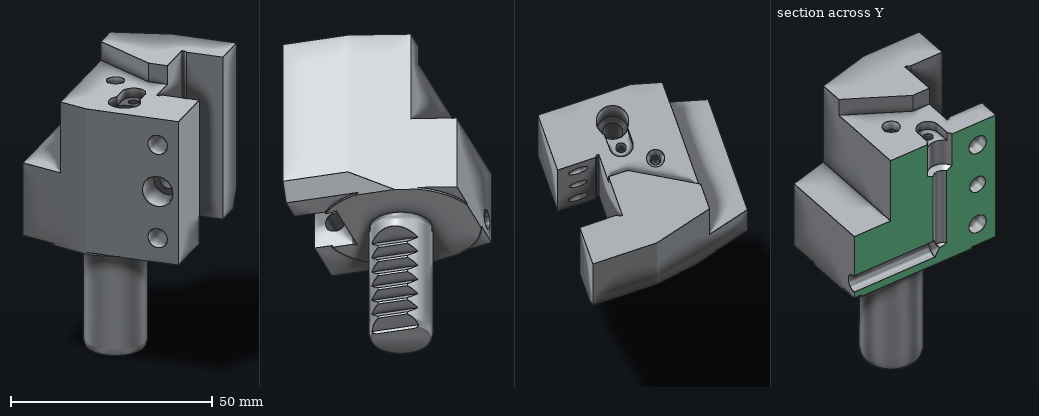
import cadquery as cq
import math


HEAD_LEFT = -19.0
HEAD_RIGHT = 24.0
HEAD_FRONT = -20.0
HEAD_BACK = 22.0
HEAD_TOP = 44.0
LEFT_HALF_WIDTH = 15.0
SIDE_BEVEL_ANGLE = 15.0
SHOULDER_X = -8.0
SHOULDER_Z = 20.0

DECK_Z = 39.0
DECK_EDGE_Y = 2.0
DECK_CORNER_X = 8.0
DECK_EDGE_ANGLE = 30.0

BACK_CHAMFER_Y = 3.0
BACK_CHAMFER_ANGLE = 30.0

PAD_RADIUS = 20.0
PAD_HEIGHT = 0.5

SLOT_X = 13.0
SLOT_FRONT = -5.0
SLOT_BACK = 12.0
RELIEF_DEPTH = 0.5
RELIEF_FLOOR = 0.6
RELIEF_LENGTH_FRONT = 1.0
RELIEF_LENGTH_BACK = 1.4

SHANK_RADIUS = 8.0
SHANK_LENGTH = 32.0
NECK_RADIUS = 7.7
NECK_LENGTH = 1.0
NECK_TAPER_END = 2.0
LEAD_START = 30.0
LEAD_ANGLE = 15.0
TIP_ROUND = 1.0

TOOTH_TIP_Y = 7.05
TOOTH_ROOT_Y = 5.35
TOOTH_PITCH = 4.0
FIRST_ROOT_Z = -6.6
GROOVE_COUNT = 6
TIP_FLAT_Y = 4.8

DRILL_TIP_ANGLE = 118.0
CLAMP_X = 18.5
CLAMP_CENTER_Z = 19.5
CLAMP_SPACING = 12.5
CLAMP_DIAMETER = 5.1
CENTER_BORE_DIAMETER = 4.6
CENTER_COUNTERBORE_DIAMETER = 8.0
CENTER_COUNTERBORE_DEPTH = 8.0

VALVE_X = 7.0
VALVE_Y = -12.5
VALVE_DIAMETER = 8.0
VALVE_DEPTH = 10.0
VALVE_BORE_DIAMETER = 5.0
VALVE_BORE_BOTTOM = 5.4
KEY_SCREW_Y = -6.0
KEY_WIDTH = 6.0
KEY_DEPTH = 2.5
KEY_SCREW_DIAMETER = 2.5
KEY_SCREW_DEPTH = 6.0

CENTER_DRILL_ANGLE = 60.0
CENTER_DRILL_DIAMETER = 4.5
CENTER_DRILL_BORE_DIAMETER = 2.5
CENTER_DRILL_DEPTH = 5.0

SIDE_HOLE_Y = -11.0
SIDE_HOLE_Z = 5.0
SIDE_HOLE_DIAMETER = 5.0
SIDE_HOLE_END = 5.5

DOWN = (0, 0, -1)
ALONG_X = (1, 0, 0)
ALONG_Y = (0, 1, 0)
OVERSHOOT = 1.0


def cylinder(diameter, depth, start, direction):
    """Straight cylinder from a start point."""
    solid = cq.Solid.makeCylinder(diameter / 2, depth, cq.Vector(*start), cq.Vector(*direction))
    return cq.Workplane(obj=solid)


def cone_depth(diameter, included_angle):
    """Depth of a pointed cone with the given mouth diameter."""
    return diameter / 2 / math.tan(math.radians(included_angle / 2))


def drilled(diameter, depth, start, direction):
    """Drilled hole: full diameter to the given depth, then a conical point."""
    axis = cq.Vector(*direction)
    base = cq.Vector(*start) + axis * depth
    point = cq.Solid.makeCone(diameter / 2, 0, cone_depth(diameter, DRILL_TIP_ANGLE), base, axis)
    return cylinder(diameter, depth, start, direction).union(cq.Workplane(obj=point))


def box(x_range, y_range, z_range):
    """Axis-aligned box from its ranges."""
    (x0, x1), (y0, y1), (z0, z1) = x_range, y_range, z_range
    return cq.Workplane("XY").box(x1 - x0, y1 - y0, z1 - z0, centered=False).translate((x0, y0, z0))


def head_block():
    """Head with bevelled sides, a shoulder on the left and a chamfered back edge."""
    slope = math.tan(math.radians(SIDE_BEVEL_ANGLE))
    back_bevel_x = HEAD_LEFT + (HEAD_BACK - LEFT_HALF_WIDTH) / slope
    front_bevel_x = HEAD_LEFT + (-LEFT_HALF_WIDTH - HEAD_FRONT) / slope
    outline = [
        (HEAD_LEFT, -LEFT_HALF_WIDTH),
        (front_bevel_x, HEAD_FRONT),
        (HEAD_RIGHT, HEAD_FRONT),
        (HEAD_RIGHT, HEAD_BACK),
        (back_bevel_x, HEAD_BACK),
        (HEAD_LEFT, LEFT_HALF_WIDTH),
    ]
    head = cq.Workplane("XY").polyline(outline).close().extrude(HEAD_TOP)
    shoulder = box((HEAD_LEFT, SHOULDER_X), (HEAD_FRONT, HEAD_BACK), (SHOULDER_Z, HEAD_TOP))

    chamfer_height = BACK_CHAMFER_Y / math.tan(math.radians(BACK_CHAMFER_ANGLE))
    back_chamfer = (
        cq.Workplane("YZ", origin=(HEAD_LEFT, 0, 0))
        .polyline([(HEAD_BACK - BACK_CHAMFER_Y, 0), (HEAD_BACK, 0), (HEAD_BACK, chamfer_height)])
        .close()
        .extrude(HEAD_RIGHT - HEAD_LEFT)
    )
    return head.cut(shoulder).cut(back_chamfer).cut(deck_cut()).cut(pad_surround())


def deck_cut():
    """Volume removed to lower the front of the top face."""
    run = DECK_CORNER_X - SHOULDER_X
    left_y = DECK_EDGE_Y + run * math.tan(math.radians(DECK_EDGE_ANGLE))
    outline = [
        (SHOULDER_X, HEAD_FRONT),
        (HEAD_RIGHT, HEAD_FRONT),
        (HEAD_RIGHT, DECK_EDGE_Y),
        (DECK_CORNER_X, DECK_EDGE_Y),
        (SHOULDER_X, left_y),
    ]
    return cq.Workplane("XY", origin=(0, 0, DECK_Z)).polyline(outline).close().extrude(HEAD_TOP - DECK_Z)


def pad_surround():
    """Thin layer around the seating pad on the underside."""
    layer = box((HEAD_LEFT, HEAD_RIGHT), (HEAD_FRONT, HEAD_BACK), (0, PAD_HEIGHT))
    return layer.cut(cq.Workplane("XY").circle(PAD_RADIUS).extrude(PAD_HEIGHT))


def tool_slot():
    """Slot open to the right through the full height, relieved in both inner corners."""
    outline = [
        (SLOT_X, SLOT_FRONT - RELIEF_DEPTH),
        (SLOT_X + RELIEF_FLOOR, SLOT_FRONT - RELIEF_DEPTH),
        (SLOT_X + RELIEF_LENGTH_FRONT, SLOT_FRONT),
        (HEAD_RIGHT, SLOT_FRONT),
        (HEAD_RIGHT, SLOT_BACK),
        (SLOT_X + RELIEF_LENGTH_BACK, SLOT_BACK),
        (SLOT_X + RELIEF_FLOOR, SLOT_BACK + RELIEF_DEPTH),
        (SLOT_X, SLOT_BACK + RELIEF_DEPTH),
    ]
    return cq.Workplane("XY").polyline(outline).close().extrude(HEAD_TOP)


def shank():
    """Turned shank with a necked top, a tapered lead-in, a rounded tip and serrations."""
    angle = math.radians(LEAD_ANGLE)
    round_center_z = -SHANK_LENGTH + TIP_ROUND
    lead_end_z = round_center_z - TIP_ROUND * math.sin(angle)
    lead_end_radius = SHANK_RADIUS - (-LEAD_START - lead_end_z) * math.tan(angle)
    end_face_radius = lead_end_radius - TIP_ROUND * math.cos(angle)
    middle_angle = (angle + math.pi / 2) / 2
    round_middle = (
        end_face_radius + TIP_ROUND * math.cos(middle_angle),
        round_center_z - TIP_ROUND * math.sin(middle_angle),
    )
    profile = (
        cq.Workplane("XZ")
        .moveTo(0, PAD_HEIGHT)
        .lineTo(NECK_RADIUS, PAD_HEIGHT)
        .lineTo(NECK_RADIUS, -NECK_LENGTH)
        .lineTo(SHANK_RADIUS, -NECK_TAPER_END)
        .lineTo(SHANK_RADIUS, -LEAD_START)
        .lineTo(lead_end_radius, lead_end_z)
        .threePointArc(round_middle, (end_face_radius, -SHANK_LENGTH))
        .lineTo(0, -SHANK_LENGTH)
        .close()
    )
    body = profile.revolve(360, (0, 0, 0), (0, 1, 0))
    return body.cut(serrations())


def serrations():
    """Row of 90 degree grooves across a flat, ending in a deeper flat at the tip."""
    depth = TOOTH_TIP_Y - TOOTH_ROOT_Y
    points = [(SHANK_RADIUS, FIRST_ROOT_Z + SHANK_RADIUS - TOOTH_ROOT_Y)]
    for index in range(GROOVE_COUNT):
        root_z = FIRST_ROOT_Z - index * TOOTH_PITCH
        next_flank_z = root_z - TOOTH_PITCH + depth
        points.append((TOOTH_ROOT_Y, root_z))
        points.append((TOOTH_TIP_Y, root_z - depth))
        points.append((TOOTH_TIP_Y, next_flank_z))
    points.append((TIP_FLAT_Y, next_flank_z - (TOOTH_TIP_Y - TIP_FLAT_Y)))
    points.append((TIP_FLAT_Y, -SHANK_LENGTH))
    points.append((SHANK_RADIUS, -SHANK_LENGTH))
    cutter = cq.Workplane("YZ", origin=(-SHANK_RADIUS, 0, 0)).polyline(points).close()
    return cutter.extrude(2 * SHANK_RADIUS)


def clamp_holes():
    """Three holes in a column from the front face into the slot; the middle one is counterbored."""
    length = SLOT_FRONT - HEAD_FRONT + OVERSHOOT
    center = (CLAMP_X, HEAD_FRONT, CLAMP_CENTER_Z)
    holes = cylinder(CENTER_BORE_DIAMETER, length, center, ALONG_Y)
    holes = holes.union(cylinder(CENTER_COUNTERBORE_DIAMETER, CENTER_COUNTERBORE_DEPTH, center, ALONG_Y))
    for offset in (-CLAMP_SPACING, CLAMP_SPACING):
        start = (CLAMP_X, HEAD_FRONT, CLAMP_CENTER_Z + offset)
        holes = holes.union(cylinder(CLAMP_DIAMETER, length, start, ALONG_Y))
    return holes


def center_drill_hole():
    """Conical center hole on the shank axis with a small drilled bore below."""
    start = (0, 0, DECK_Z)
    depth = cone_depth(CENTER_DRILL_DIAMETER, CENTER_DRILL_ANGLE)
    cone = cq.Solid.makeCone(CENTER_DRILL_DIAMETER / 2, 0, depth, cq.Vector(*start), cq.Vector(*DOWN))
    bore = drilled(CENTER_DRILL_BORE_DIAMETER, CENTER_DRILL_DEPTH, start, DOWN)
    return bore.union(cq.Workplane(obj=cone))


def valve_pocket():
    """Coolant bore with a keyhole recess and retaining screw hole beside it."""
    start = (VALVE_X, VALVE_Y, DECK_Z)
    seat = drilled(VALVE_DIAMETER, VALVE_DEPTH, start, DOWN)
    bore = drilled(VALVE_BORE_DIAMETER, DECK_Z - VALVE_BORE_BOTTOM, start, DOWN)
    recess_end = cylinder(KEY_WIDTH, KEY_DEPTH, (VALVE_X, KEY_SCREW_Y, DECK_Z), DOWN)
    recess = box(
        (VALVE_X - KEY_WIDTH / 2, VALVE_X + KEY_WIDTH / 2),
        (VALVE_Y, KEY_SCREW_Y),
        (DECK_Z - KEY_DEPTH, DECK_Z),
    )
    screw_start = (VALVE_X, KEY_SCREW_Y, DECK_Z - KEY_DEPTH)
    screw_hole = drilled(KEY_SCREW_DIAMETER, KEY_SCREW_DEPTH, screw_start, DOWN)
    return seat.union(bore).union(recess).union(recess_end).union(screw_hole)


def side_hole():
    """Coolant inlet drilled from the left face into the coolant bore."""
    return drilled(
        SIDE_HOLE_DIAMETER,
        SIDE_HOLE_END - HEAD_LEFT,
        (HEAD_LEFT, SIDE_HOLE_Y, SIDE_HOLE_Z),
        ALONG_X,
    )


part = head_block().cut(tool_slot()).union(shank())
part = part.cut(clamp_holes()).cut(valve_pocket()).cut(center_drill_hole()).cut(side_hole())

result = cq.Workplane(obj=part.solids().val())